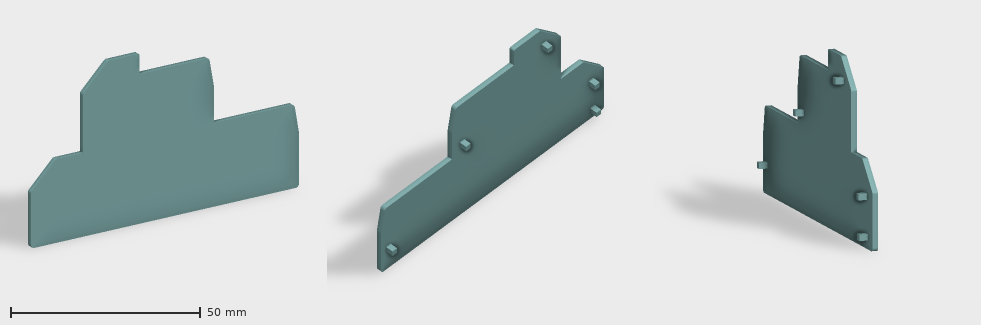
import cadquery as cq
import math

total_depth = 3.96
total_length = 83.75
total_height = 48.25

plate_thickness = 1.58
shoulder_height = 23.75
step_height = 42.45
corner_radius = 1.0
tower_corner_radius = 0.5

back_edge = total_length / 2
front_edge = -back_edge
body_back = back_edge - 26.6
tower_back = back_edge - 49.85
body_front = front_edge + 16.25

draft_angle = math.radians(10)
draft_height = 8.3
chamfer_leg = 7.8

peg_side = 1.7
peg_length = total_depth - plate_thickness
peg_centres = [
    (back_edge - 2.7, 7.9),
    (back_edge - 30.35, 27.35),
    (back_edge - 61.05, 41.9),
    (front_edge + 4.9, 14.1),
    (front_edge + 4.4, 3.25),
]


def round_corner(plate, corner, radius):
    """Round the through-thickness edge at one (Y, Z) outline corner."""
    y, z = corner
    corner_edge = cq.selectors.NearestToPointSelector((plate_thickness / 2, y, z))
    return plate.edges("|X").edges(corner_edge).fillet(radius)


def make_plate():
    """Stepped flat plate with rounded outer corners."""
    lean = draft_height * math.tan(draft_angle)

    bottom_back = (back_edge, 0)
    shoulder_draft_start = (back_edge, shoulder_height - draft_height)
    shoulder_back = (back_edge - lean, shoulder_height)
    body_foot_back = (body_back, shoulder_height)
    step_draft_start = (body_back, step_height - draft_height)
    step_back = (body_back - lean, step_height)
    tower_foot = (tower_back, step_height)
    tower_top_back = (tower_back, total_height)
    tower_chamfer_top = (body_front + chamfer_leg, total_height)
    tower_chamfer_bottom = (body_front, total_height - chamfer_leg)
    body_foot_front = (body_front, shoulder_height)
    shoulder_chamfer_top = (front_edge + chamfer_leg, shoulder_height)
    shoulder_chamfer_bottom = (front_edge, shoulder_height - chamfer_leg)
    bottom_front = (front_edge, 0)

    outline = [
        bottom_back,
        shoulder_draft_start,
        shoulder_back,
        body_foot_back,
        step_draft_start,
        step_back,
        tower_foot,
        tower_top_back,
        tower_chamfer_top,
        tower_chamfer_bottom,
        body_foot_front,
        shoulder_chamfer_top,
        shoulder_chamfer_bottom,
        bottom_front,
    ]
    plate = cq.Workplane("YZ").polyline(outline).close().extrude(plate_thickness)

    rounded_corners = [
        bottom_back,
        shoulder_back,
        step_back,
        tower_chamfer_top,
        tower_chamfer_bottom,
        shoulder_chamfer_top,
        shoulder_chamfer_bottom,
        bottom_front,
    ]
    for corner in rounded_corners:
        plate = round_corner(plate, corner, corner_radius)
    return round_corner(plate, tower_top_back, tower_corner_radius)


def make_pegs():
    """Square pegs standing out of the -X face of the plate."""
    return (
        cq.Workplane("YZ")
        .pushPoints(peg_centres)
        .rect(peg_side, peg_side)
        .extrude(-peg_length)
    )


result = make_plate().union(make_pegs())